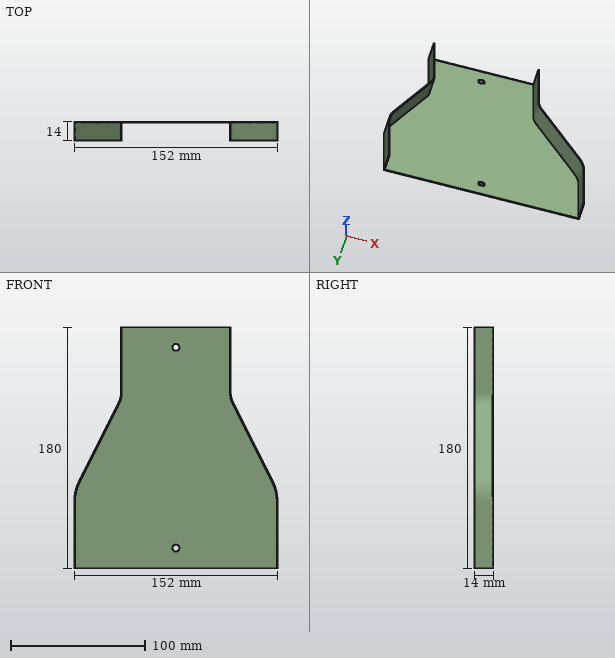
import cadquery as cq

height = 180.0
wide_width = 152.0
narrow_width = 82.0
flange_depth = 14.0
thickness = 0.8

lower_corner_z = 57.8
upper_corner_z = 127.0
lower_bend_radius = 32.4
upper_bend_radius = 17.0

hole_diameter = 5.0
hole_edge_distance = 15.1

end_overrun = 3.6


def tapered_block(bottom_z, top_z):
    """Solid block with the outer side lines and rounded bends, reaching from y = 0 towards -Y."""
    wide_x = wide_width / 2
    narrow_x = narrow_width / 2
    outline = [
        (-wide_x, bottom_z),
        (wide_x, bottom_z),
        (wide_x, lower_corner_z),
        (narrow_x, upper_corner_z),
        (narrow_x, top_z),
        (-narrow_x, top_z),
        (-narrow_x, upper_corner_z),
        (-wide_x, lower_corner_z),
    ]
    block = cq.Workplane("XZ").polyline(outline).close().extrude(flange_depth)
    bends = (
        (wide_x, lower_corner_z, lower_bend_radius),
        (narrow_x, upper_corner_z, upper_bend_radius),
    )
    for corner_x, corner_z, radius in bends:
        for side in (-1, 1):
            corner = (side * corner_x, -flange_depth / 2, corner_z)
            block = block.edges(cq.selectors.NearestToPointSelector(corner)).fillet(radius)
    return block


def channel_cavity():
    """Space between the flanges, open at both ends and on the -Y side."""
    long_block = tapered_block(-end_overrun, height + end_overrun)
    outer_wire = long_block.faces(">Y").wires().val()
    inner_wire = outer_wire.offset2D(-thickness)[0]
    cavity = cq.Solid.extrudeLinear(inner_wire, [], cq.Vector(0, -flange_depth, 0))
    return cq.Workplane(cavity).translate((0, -thickness, 0))


def mounting_holes():
    """Hole cutters on the centre line near both ends of the plate."""
    centres = [(0, hole_edge_distance), (0, height - hole_edge_distance)]
    return cq.Workplane("XZ").pushPoints(centres).circle(hole_diameter / 2).extrude(flange_depth)


result = tapered_block(0, height).cut(channel_cavity()).cut(mounting_holes())